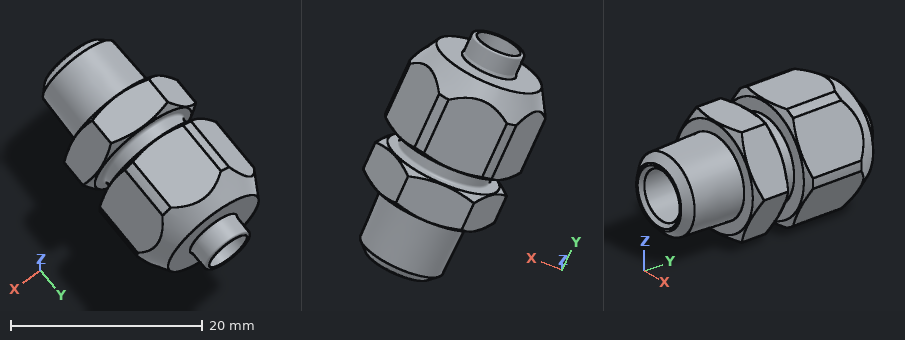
import cadquery as cq
import math


thread_length = 7.5
body_hex_width = 4.5
collar_length = 2.0
nut_length = 10.0
stub_length = 2.5

body_hex_start = thread_length
collar_start = body_hex_start + body_hex_width
nut_start = collar_start + collar_length
nut_end = nut_start + nut_length
overall_length = nut_end + stub_length

thread_base_radius = 4.96
thread_taper = 1 / 32
thread_chamfer = 1.0
thread_chamfer_radius = thread_base_radius - (thread_length - thread_chamfer) * thread_taper
thread_tip_radius = thread_chamfer_radius - thread_chamfer

chamfer_slope = math.tan(math.radians(30))
body_across_flats = 13.0
body_corner_radius = body_across_flats / 2 / math.cos(math.radians(30))
body_face_radius = 6.4
body_cone_length = (body_corner_radius - body_face_radius) * chamfer_slope
nut_across_flats = 14.0
nut_corner_radius = 7.75
nut_front_face_radius = 6.85
nut_front_cone_length = (nut_corner_radius - nut_front_face_radius) * chamfer_slope
nut_rear_face_radius = 6.02
nut_rear_cone_length = (nut_corner_radius - nut_rear_face_radius) / chamfer_slope

collar_radius = 5.22
collar_fillet = 0.35
stub_radius = 3.0
stub_base_flare = 0.1
stub_base_length = 0.4
stub_tip_fillet = 0.2

passage_radius = 2.5
entry_bore_radius = 3.0
entry_chamfer = 0.5
entry_bore_depth = collar_start
drill_half_angle = 59.0


def revolve_about_y(profile):
    """Turn a closed (radius, Y) profile about the Y axis."""
    return profile.close().revolve(360, (0, 0, 0), (0, 1, 0))


def hexagon(start, length, across_flats):
    """Hexagonal prism along Y with flats facing up and down."""
    across_corners = across_flats / math.cos(math.radians(30))
    plane = cq.Workplane("XZ", origin=(0, start, 0))
    return plane.polygon(6, across_corners).extrude(-length)


def turning_envelope(corner_radius, front, rear):
    """Coned cylinder between a front and a rear end, each given as (station, face radius, cone length)."""
    front_station, front_face_radius, front_cone_length = front
    rear_station, rear_face_radius, rear_cone_length = rear
    return revolve_about_y(
        cq.Workplane("XY")
        .moveTo(0, front_station)
        .lineTo(front_face_radius, front_station)
        .lineTo(corner_radius, front_station + front_cone_length)
        .lineTo(corner_radius, rear_station - rear_cone_length)
        .lineTo(rear_face_radius, rear_station)
        .lineTo(0, rear_station)
    )


def body_hexagon():
    """Body hexagon with both ends chamfered alike."""
    envelope = turning_envelope(
        body_corner_radius,
        front=(body_hex_start, body_face_radius, body_cone_length),
        rear=(collar_start, body_face_radius, body_cone_length),
    )
    return hexagon(body_hex_start, body_hex_width, body_across_flats).intersect(envelope)


def nut():
    """Union nut with turned corners, a shallow front chamfer and a long rear cone."""
    envelope = turning_envelope(
        nut_corner_radius,
        front=(nut_start, nut_front_face_radius, nut_front_cone_length),
        rear=(nut_end, nut_rear_face_radius, nut_rear_cone_length),
    )
    return hexagon(nut_start, nut_length, nut_across_flats).intersect(envelope)


def thread_blank():
    """Tapered end of the body, with a 45 degree lead-in."""
    return revolve_about_y(
        cq.Workplane("XY")
        .lineTo(thread_tip_radius, 0)
        .lineTo(thread_chamfer_radius, thread_chamfer)
        .lineTo(thread_base_radius, thread_length)
        .lineTo(0, thread_length)
    )


def collar():
    """Round neck between body hexagon and nut, filleted into the hexagon."""
    return revolve_about_y(
        cq.Workplane("XY")
        .moveTo(0, collar_start)
        .lineTo(collar_radius + collar_fillet, collar_start)
        .radiusArc((collar_radius, collar_start + collar_fillet), collar_fillet)
        .lineTo(collar_radius, nut_start)
        .lineTo(0, nut_start)
    )


def stub():
    """Tube stub, slightly flared where it leaves the nut and rounded at its free end."""
    return revolve_about_y(
        cq.Workplane("XY")
        .moveTo(0, nut_end)
        .lineTo(stub_radius + stub_base_flare, nut_end)
        .lineTo(stub_radius, nut_end + stub_base_length)
        .lineTo(stub_radius, overall_length - stub_tip_fillet)
        .radiusArc((stub_radius - stub_tip_fillet, overall_length), -stub_tip_fillet)
        .lineTo(0, overall_length)
    )


def bore():
    """Through passage with a wider, chamfered entry bore ending in a drill cone."""
    cone_length = (entry_bore_radius - passage_radius) / math.tan(math.radians(drill_half_angle))
    return revolve_about_y(
        cq.Workplane("XY")
        .lineTo(entry_bore_radius + entry_chamfer, 0)
        .lineTo(entry_bore_radius, entry_chamfer)
        .lineTo(entry_bore_radius, entry_bore_depth)
        .lineTo(passage_radius, entry_bore_depth + cone_length)
        .lineTo(passage_radius, overall_length)
        .lineTo(0, overall_length)
    )


result = (
    thread_blank()
    .union(body_hexagon())
    .union(collar())
    .union(nut())
    .union(stub())
    .cut(bore())
)